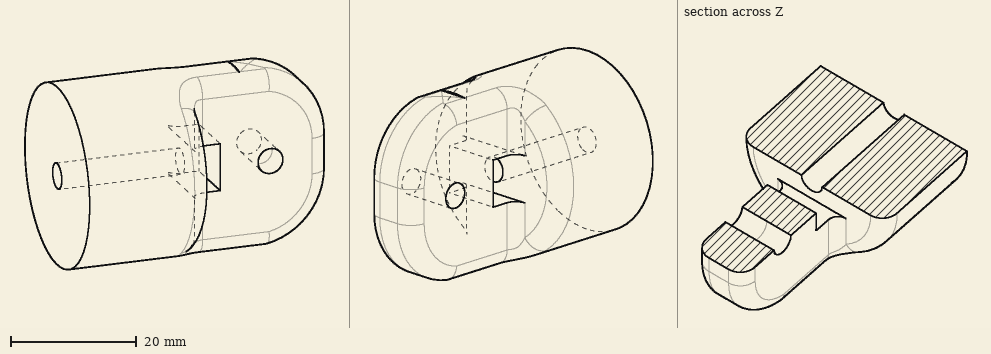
import cadquery as cq

body_diameter = 30.0
total_length = 44.24
shoulder_position = 20.74
tab_thickness = 10.0
tab_corner_radius = 12.0
edge_radius = 3.0
root_radius = 2.0
hole_diameter = 4.2
cross_hole_from_tip = 10.0
slot_length = 5.0
slot_height = 7.9
relief_length = 2.4

body_radius = body_diameter / 2
tab_length = total_length - shoulder_position
corner_center_y = total_length - tab_corner_radius
corner_center_z = body_radius - tab_corner_radius
relief_start = corner_center_y - relief_length


def block(width, length, height, start):
    """Box centred on the Y axis, running from Y = start towards the tip."""
    return (
        cq.Workplane("XY")
        .box(width, length, height, centered=(True, False, True))
        .translate((0, start, 0))
    )


def make_flattened_bar():
    """Round bar with two flats leaving a tab; roots, tab edges and shoulder rims are rounded."""
    bar = cq.Workplane("XZ").circle(body_radius).extrude(-total_length)
    cheeks = block(body_diameter, tab_length, body_diameter, shoulder_position).cut(
        block(tab_thickness, tab_length, body_diameter, shoulder_position)
    )
    bar = bar.cut(cheeks)
    roots = bar.edges("|Z").edges("<Y")
    bar = roots.fillet(root_radius)
    shoulder_and_tab_rims = bar.faces("|X").edges("|Y")
    return shoulder_and_tab_rims.fillet(edge_radius)


def make_tip_envelope():
    """Rounded tab end, joined to a wide block that clears everything behind the corners."""
    slab = block(tab_thickness, total_length, body_diameter, 0)
    slab = slab.faces(">Y").edges("|X").fillet(tab_corner_radius)
    slab = slab.faces("|X").edges("not(<Y)").fillet(edge_radius)
    return slab.union(block(2 * body_diameter, relief_start, 2 * body_diameter, 0))


def make_top_relief():
    """Shallow scoop on the tab's top, carrying the corner arc on past its highest point."""
    scoop = (
        cq.Workplane("XY")
        .box(tab_thickness, relief_length, tab_corner_radius, centered=(True, False, False))
        .translate((0, relief_start, corner_center_z))
    )
    corner = (
        cq.Workplane("YZ")
        .center(corner_center_y, corner_center_z)
        .circle(tab_corner_radius)
        .extrude(tab_thickness, both=True)
    )
    return scoop.cut(corner)


def make_cross_hole():
    return (
        cq.Workplane("YZ")
        .center(total_length - cross_hole_from_tip, 0)
        .circle(hole_diameter / 2)
        .extrude(tab_thickness, both=True)
    )


def make_slot():
    return block(body_diameter, slot_length, slot_height, shoulder_position)


def make_axial_hole():
    """Bore from the base that opens into the slot."""
    return cq.Workplane("XZ").circle(hole_diameter / 2).extrude(-(shoulder_position + slot_length / 2))


result = make_flattened_bar().intersect(make_tip_envelope())
for cutter in (make_top_relief(), make_cross_hole(), make_slot(), make_axial_hole()):
    result = result.cut(cutter)